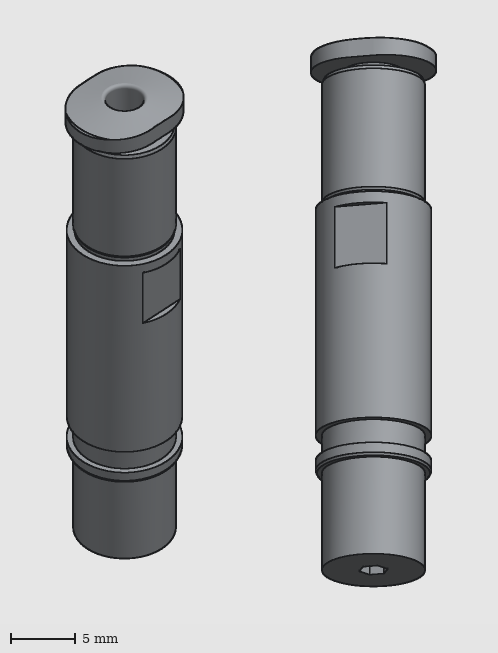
import cadquery as cq
import math

total_height = 42.6
ring_bottom = 7.92
ring_top = 8.95
body_bottom = 11.0
body_top = 29.5
flat_bottom = 23.6
flat_top = 28.6
sleeve_bottom = 30.05
sleeve_top = 40.0
cap_bottom = 40.75

body_diameter = 9.0
shaft_diameter = 8.0
groove_diameter = 7.8
neck_diameter = 4.4

bevel_height = 0.2
bevel_width = (shaft_diameter - groove_diameter) / 2
sleeve_top_bevel_height = 0.3
neck_flare_height = 0.3
neck_flare_width = 0.105

width_across_flats = 7.95

cap_length = 9.8
cap_width = 7.8
cone_diameter = 9.45
cone_drop = 0.5
rim_chamfer_drop = 0.13

bore_diameter = 3.0
mouth_radius = 0.3
bore_depth = 3.0
hex_across_flats = 2.0


def revolve_outline(points):
    """Turn a (radius, height) outline about the Z axis."""
    return cq.Workplane("XZ").polyline(points).close().revolve(360, (0, 0, 0), (0, 1, 0))


def make_stem():
    """Shaft, stop ring, body, groove, sleeve and neck as one turned profile."""
    shaft = shaft_diameter / 2
    body = body_diameter / 2
    groove = groove_diameter / 2
    neck = neck_diameter / 2
    return revolve_outline([
        (0, 0),
        (shaft, 0),
        (shaft, ring_bottom),
        (body - bevel_width, ring_bottom),
        (body, ring_bottom + bevel_height),
        (body, ring_top),
        (shaft, ring_top),
        (shaft, body_bottom),
        (body, body_bottom),
        (body, body_top),
        (groove, body_top),
        (groove, sleeve_bottom - bevel_height),
        (shaft, sleeve_bottom),
        (shaft, sleeve_top - sleeve_top_bevel_height),
        (shaft - bevel_width, sleeve_top),
        (neck, sleeve_top),
        (neck, cap_bottom - neck_flare_height),
        (neck + neck_flare_width, cap_bottom),
        (0, cap_bottom),
    ])


def make_cap():
    """Stadium prism, long along Y, trimmed by a conical top with a bevelled rim."""
    prism = (
        cq.Workplane("XY")
        .workplane(offset=cap_bottom)
        .slot2D(cap_length, cap_width, 90)
        .extrude(total_height - cap_bottom)
    )
    cone_edge_height = total_height - cone_drop
    dome = revolve_outline([
        (0, cap_bottom),
        (cap_length / 2, cap_bottom),
        (cap_length / 2, cone_edge_height - rim_chamfer_drop),
        (cone_diameter / 2, cone_edge_height),
        (bore_diameter / 2 + mouth_radius, total_height),
        (0, total_height),
    ])
    return prism.intersect(dome)


def cut_body_flats(part):
    """Cut a flat window into the body on both the -X and +X sides."""
    flat_distance = width_across_flats / 2
    depth = body_diameter / 2 - flat_distance
    for side in (-1, 1):
        cutter = cq.Workplane("XY").box(depth, body_diameter, flat_top - flat_bottom)
        center = (side * (flat_distance + depth / 2), 0, (flat_bottom + flat_top) / 2)
        part = part.cut(cutter.translate(center))
    return part


def cut_axial_hole(part):
    """Cut the round-edged bore and the hexagonal hole that runs on through the part."""
    bore = bore_diameter / 2
    bore_outline = (
        cq.Workplane("XZ")
        .moveTo(0, total_height - bore_depth)
        .lineTo(bore, total_height - bore_depth)
        .lineTo(bore, total_height - mouth_radius)
        .radiusArc((bore + mouth_radius, total_height), mouth_radius)
        .lineTo(0, total_height)
        .close()
    )
    part = part.cut(bore_outline.revolve(360, (0, 0, 0), (0, 1, 0)))
    across_corners = hex_across_flats / math.cos(math.radians(30))
    hexagon = (
        cq.Workplane("XY")
        .polygon(6, across_corners)
        .extrude(total_height)
        .rotate((0, 0, 0), (0, 0, 1), 90)
    )
    return part.cut(hexagon)


result = make_stem().union(make_cap())
result = cut_body_flats(result)
result = cut_axial_hole(result)